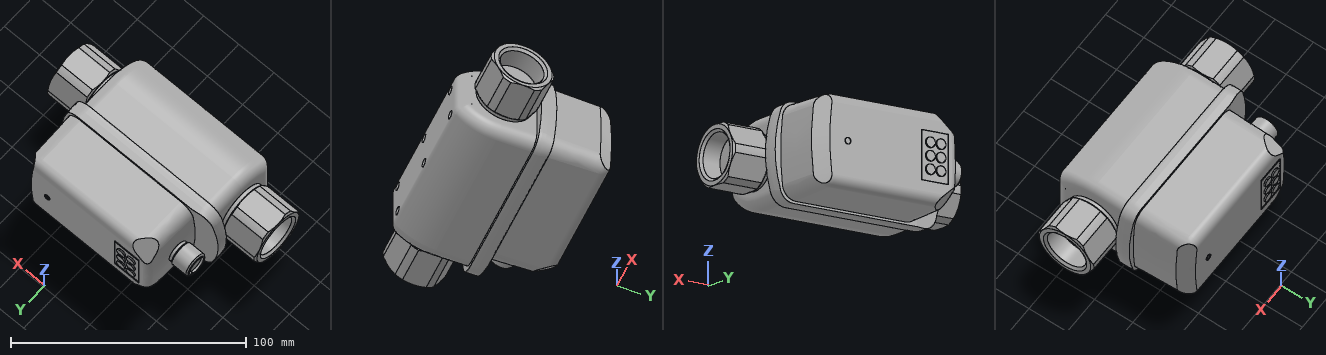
import cadquery as cq
import math


FITTING_END = 59.5
HEX_LENGTH = 19.0
HEX_FLATS = 26.9
HEX_TURN = 30
HEX_ROUND_DIAMETER = 29.0
HEX_CHAMFER_LENGTH = 0.7
HEX_CHAMFER_STEP = 1.13
COLLAR_DIAMETER = 25.7
BORE_DIAMETER = 20.2
BORE_MOUTH_DIAMETER = 22.6
BORE_DEPTH = 10.0

HOUSING_HALF_LENGTH = 38.4
HOUSING_HALF_HEIGHT = 20.7
HOUSING_FRONT_Y = -20.6
HOUSING_ARC_START_Y = -1.0
HOUSING_FRONT_HALF_HEIGHT = 11.7
HOUSING_END_FILLET = 5.8
HOUSING_FRONT_FILLET = 3.0

FRONT_HOLE_DIAMETER = 3.7
FRONT_HOLE_DEPTH = 3.6
FRONT_HOLE_PITCH_X = 28.6
FRONT_HOLE_Z = 8.2

FLANGE_HALF_LENGTH = 43.9
FLANGE_HEIGHT = 45.3
FLANGE_HALF_HEIGHT = FLANGE_HEIGHT / 2
FLANGE_CORNER_RADIUS = 8.3
FLANGE_END_RADIUS = 55.9
FLANGE_BOTTOM_Y = 15.2
GASKET_BOTTOM_Y = 16.7
GASKET_TOP_Y = 18.7
FLANGE_TOP_Y = 22.3
FLANGE_TOP_INSET = 0.2
FLANGE_TOP_CORNER_RADIUS = 6.9
FLANGE_BOTTOM_TAPER = 4.0

SLOPE_START_X = -30.5
SLOPE_END_Y = 20.6

COVER_LEFT_X = -32.1
COVER_RIGHT_X = 40.9
COVER_HALF_HEIGHT = 21.4
COVER_TOP_Y = 51.0
COVER_CORNER_RADIUS = 7.1
COVER_END_RADIUS = 119.0
COVER_TAPER = 1.5
COVER_LONG_EDGE_FILLET = 4.8
COVER_LEFT_EDGE_FILLET = 3.0

BEVEL_LENGTH = 5.4
BEVEL_DROP = 7.9

FACET_X = 12.7
FACET_Y = 14.2
FACET_Z = 10.5
FACET_TRIM_RADIUS = 17.8

CONNECTOR_Y = 33.0
CONNECTOR_TIP_X = -42.5
CONNECTOR_DIAMETER = 11.9
CONNECTOR_LENGTH = 9.5
CONNECTOR_CHAMFER = 0.8
CONNECTOR_NECK_DIAMETER = 10.6
CONNECTOR_BORE_DIAMETER = 9.0
CONNECTOR_BORE_DEPTH = 1.2
CONNECTOR_KEY_DIAMETER = 1.7
CONNECTOR_KEY_ANGLE = -45

KEYPAD_LEFT_X = -26.0
KEYPAD_RIGHT_X = -12.1
KEYPAD_HALF_HEIGHT = 11.1
KEYPAD_THICKNESS = 0.4
KEY_DIAMETER = 4.6
KEY_HEIGHT = 1.1
KEY_X = (-21.8, -16.3)
KEY_Z = (-6.0, 0.0, 6.0)
LAMP_X = 26.3
LAMP_DIAMETER = 2.9

OVERLAP = 2.4


def plane_at(y):
    """Workplane facing +Y at height y, with local axes (Z, X)."""
    return cq.Workplane("ZX", origin=(0, y, 0))


def end_points(end_x, half_height, corner_radius, end_radius):
    """Upper-half points (z, x) of a bowed end: straight end, corner middle, bow start, bow middle."""
    side = math.copysign(1, end_x)
    bow_center = abs(end_x) - end_radius
    corner_z = half_height - corner_radius
    reach = end_radius - corner_radius
    corner_x = bow_center + math.sqrt(reach**2 - corner_z**2)
    bow_angle = math.asin(corner_z / reach)
    middle_angle = (bow_angle + math.pi / 2) / 2
    straight_end = (half_height, side * corner_x)
    corner_middle = (
        corner_z + corner_radius * math.sin(middle_angle),
        side * (corner_x + corner_radius * math.cos(middle_angle)),
    )
    bow_start = (
        end_radius * math.sin(bow_angle),
        side * (bow_center + end_radius * math.cos(bow_angle)),
    )
    return straight_end, corner_middle, bow_start, (0, end_x)


def mirrored(point):
    """The same point in the lower half."""
    return (-point[0], point[1])


def bowed_outline(y, left_x, right_x, half_height, corner_radius, end_radius):
    """Closed rounded rectangle whose two ends bow outwards."""
    left = end_points(left_x, half_height, corner_radius, end_radius)
    right = end_points(right_x, half_height, corner_radius, end_radius)
    return (
        plane_at(y)
        .moveTo(*left[0])
        .lineTo(*right[0])
        .threePointArc(right[1], right[2])
        .threePointArc(right[3], mirrored(right[2]))
        .threePointArc(mirrored(right[1]), mirrored(right[0]))
        .lineTo(*mirrored(left[0]))
        .threePointArc(mirrored(left[1]), mirrored(left[2]))
        .threePointArc(left[3], left[2])
        .threePointArc(left[1], left[0])
        .close()
    )


def x_cylinder(start_x, length, diameter, y=0.0):
    return cq.Workplane("YZ", origin=(start_x, y, 0)).circle(diameter / 2).extrude(length)


def lower_housing():
    depth = HOUSING_ARC_START_Y - HOUSING_FRONT_Y
    drop = HOUSING_HALF_HEIGHT - HOUSING_FRONT_HALF_HEIGHT
    radius = (depth**2 + drop**2) / (2 * drop)
    half_angle = math.asin(depth / radius) / 2
    middle_y = HOUSING_ARC_START_Y - radius * math.sin(half_angle)
    middle_z = HOUSING_HALF_HEIGHT - radius * (1 - math.cos(half_angle))
    body = (
        cq.Workplane("YZ", origin=(-HOUSING_HALF_LENGTH, 0, 0))
        .moveTo(FLANGE_BOTTOM_Y, HOUSING_HALF_HEIGHT)
        .lineTo(HOUSING_ARC_START_Y, HOUSING_HALF_HEIGHT)
        .threePointArc((middle_y, middle_z), (HOUSING_FRONT_Y, HOUSING_FRONT_HALF_HEIGHT))
        .lineTo(HOUSING_FRONT_Y, -HOUSING_FRONT_HALF_HEIGHT)
        .threePointArc((middle_y, -middle_z), (HOUSING_ARC_START_Y, -HOUSING_HALF_HEIGHT))
        .lineTo(FLANGE_BOTTOM_Y, -HOUSING_HALF_HEIGHT)
        .close()
        .extrude(2 * HOUSING_HALF_LENGTH)
    )
    body = body.faces("<X or >X").edges("not >Y").fillet(HOUSING_END_FILLET)
    body = body.faces("<Y").edges("|X").fillet(HOUSING_FRONT_FILLET)
    holes = (
        cq.Workplane("XZ", origin=(0, HOUSING_FRONT_Y, 0))
        .rarray(FRONT_HOLE_PITCH_X, 2 * FRONT_HOLE_Z, 3, 2)
        .circle(FRONT_HOLE_DIAMETER / 2)
        .extrude(-FRONT_HOLE_DEPTH)
    )
    return body.cut(holes)


def flange():
    size = (
        -FLANGE_HALF_LENGTH,
        FLANGE_HALF_LENGTH,
        FLANGE_HALF_HEIGHT,
        FLANGE_CORNER_RADIUS,
        FLANGE_END_RADIUS,
    )
    lower_rise = FLANGE_BOTTOM_Y - GASKET_BOTTOM_Y
    lower = bowed_outline(GASKET_BOTTOM_Y, *size).extrude(lower_rise, taper=FLANGE_BOTTOM_TAPER)
    gasket = bowed_outline(GASKET_BOTTOM_Y, *size).extrude(GASKET_TOP_Y - GASKET_BOTTOM_Y)
    top_outline = bowed_outline(
        FLANGE_TOP_Y,
        FLANGE_TOP_INSET - FLANGE_HALF_LENGTH,
        FLANGE_HALF_LENGTH - FLANGE_TOP_INSET,
        FLANGE_HALF_HEIGHT - FLANGE_TOP_INSET,
        FLANGE_TOP_CORNER_RADIUS,
        FLANGE_END_RADIUS,
    )
    gasket_outline = bowed_outline(GASKET_TOP_Y, *size)
    upper = cq.Workplane(cq.Solid.makeLoft([gasket_outline.val(), top_outline.val()], True))
    slope = (
        cq.Workplane("XY")
        .moveTo(SLOPE_START_X, FLANGE_TOP_Y)
        .lineTo(-FLANGE_HALF_LENGTH, SLOPE_END_Y)
        .lineTo(-FLANGE_HALF_LENGTH, FLANGE_TOP_Y)
        .close()
        .extrude(FLANGE_HALF_HEIGHT, both=True)
    )
    return lower.union(gasket).union(upper.cut(slope))


def left_cover_half(body, lean):
    """Half with a tight fillet on the left end edge, wider ones on the long edges and two corner facets."""
    sides_profile = (
        cq.Workplane("YZ")
        .moveTo(GASKET_TOP_Y, COVER_HALF_HEIGHT)
        .lineTo(COVER_TOP_Y, COVER_HALF_HEIGHT - lean)
        .lineTo(COVER_TOP_Y, lean - COVER_HALF_HEIGHT)
        .lineTo(GASKET_TOP_Y, -COVER_HALF_HEIGHT)
        .close()
        .extrude(COVER_LEFT_X)
    )
    sides_profile = sides_profile.faces(">Y").edges("|X").fillet(COVER_LONG_EDGE_FILLET)
    half = body.faces(">Y").edges().fillet(COVER_LEFT_EDGE_FILLET).intersect(sides_profile)

    facet = cq.Plane(
        origin=(COVER_LEFT_X + lean + FACET_X, COVER_TOP_Y, COVER_HALF_HEIGHT - lean),
        normal=(-1 / FACET_X, 1 / FACET_Y, 1 / FACET_Z),
    )
    trim = cq.Workplane(facet).circle(FACET_TRIM_RADIUS).extrude(FACET_TRIM_RADIUS)
    return half.cut(trim).cut(trim.mirror("XY"))


def right_cover_half(body):
    """Half with one fillet all around the top and a bevel that follows the bowed right end."""
    half = body.faces(">Y").edges().fillet(COVER_LONG_EDGE_FILLET)
    bow_axis_x = COVER_RIGHT_X - COVER_END_RADIUS
    bevel = (
        cq.Workplane("XY", origin=(bow_axis_x, 0, 0))
        .moveTo(COVER_END_RADIUS - BEVEL_LENGTH, COVER_TOP_Y)
        .lineTo(COVER_END_RADIUS, COVER_TOP_Y - BEVEL_DROP)
        .lineTo(COVER_END_RADIUS, COVER_TOP_Y)
        .close()
        .revolve(360, (0, 0, 0), (0, 1, 0))
    )
    left_side = (
        plane_at(GASKET_TOP_Y)
        .center(0, COVER_LEFT_X)
        .rect(2 * FLANGE_HEIGHT, -2 * COVER_LEFT_X)
        .extrude(COVER_TOP_Y)
    )
    return half.cut(bevel).cut(left_side)


def cover():
    height = COVER_TOP_Y - GASKET_TOP_Y
    lean = height * math.tan(math.radians(COVER_TAPER))
    body = bowed_outline(
        GASKET_TOP_Y, COVER_LEFT_X, COVER_RIGHT_X, COVER_HALF_HEIGHT, COVER_CORNER_RADIUS, COVER_END_RADIUS
    ).extrude(height, taper=COVER_TAPER)
    return left_cover_half(body, lean).union(right_cover_half(body))


def fitting():
    """Right-hand pipe fitting; the left-hand one is its mirror image."""
    start = FITTING_END - HEX_LENGTH
    hexagon = (
        cq.Workplane("YZ", origin=(start, 0, 0))
        .polygon(6, HEX_FLATS, circumscribed=True)
        .extrude(HEX_LENGTH)
        .rotate((0, 0, 0), (1, 0, 0), HEX_TURN)
    )
    outer_radius = HEX_ROUND_DIAMETER / 2
    turned = (
        cq.Workplane("XY")
        .moveTo(start, 0)
        .lineTo(start, outer_radius - HEX_CHAMFER_STEP)
        .lineTo(start + HEX_CHAMFER_LENGTH, outer_radius)
        .lineTo(FITTING_END - HEX_CHAMFER_LENGTH, outer_radius)
        .lineTo(FITTING_END, outer_radius - HEX_CHAMFER_STEP)
        .lineTo(FITTING_END, 0)
        .close()
        .revolve(360, (0, 0, 0), (1, 0, 0))
    )
    collar_start = HOUSING_HALF_LENGTH - OVERLAP
    collar = x_cylinder(collar_start, start + OVERLAP - collar_start, COLLAR_DIAMETER)
    bore = x_cylinder(FITTING_END - BORE_DEPTH, BORE_DEPTH, BORE_DIAMETER)
    mouth_step = (BORE_MOUTH_DIAMETER - BORE_DIAMETER) / 2
    mouth = cq.Solid.makeCone(
        BORE_MOUTH_DIAMETER / 2,
        BORE_DIAMETER / 2,
        mouth_step,
        pnt=cq.Vector(FITTING_END, 0, 0),
        dir=cq.Vector(-1, 0, 0),
    )
    return hexagon.intersect(turned).union(collar).cut(bore).cut(mouth)


def connector():
    barrel = x_cylinder(CONNECTOR_TIP_X, CONNECTOR_LENGTH, CONNECTOR_DIAMETER, CONNECTOR_Y)
    barrel = barrel.edges().chamfer(CONNECTOR_CHAMFER)
    neck_length = COVER_LEFT_X + OVERLAP - CONNECTOR_TIP_X
    neck = x_cylinder(CONNECTOR_TIP_X, neck_length, CONNECTOR_NECK_DIAMETER, CONNECTOR_Y)
    bore = x_cylinder(CONNECTOR_TIP_X, CONNECTOR_BORE_DEPTH, CONNECTOR_BORE_DIAMETER, CONNECTOR_Y)
    key_radius = CONNECTOR_BORE_DIAMETER / 2
    key_angle = math.radians(CONNECTOR_KEY_ANGLE)
    key = (
        cq.Workplane("YZ", origin=(CONNECTOR_TIP_X, CONNECTOR_Y, 0))
        .center(key_radius * math.cos(key_angle), key_radius * math.sin(key_angle))
        .circle(CONNECTOR_KEY_DIAMETER / 2)
        .extrude(CONNECTOR_BORE_DEPTH)
    )
    return barrel.union(neck).cut(bore.cut(key))


def keypad():
    pad = (
        plane_at(COVER_TOP_Y)
        .center(0, (KEYPAD_LEFT_X + KEYPAD_RIGHT_X) / 2)
        .rect(2 * KEYPAD_HALF_HEIGHT, KEYPAD_RIGHT_X - KEYPAD_LEFT_X)
        .extrude(KEYPAD_THICKNESS)
    )
    keys = (
        plane_at(COVER_TOP_Y)
        .pushPoints([(z, x) for x in KEY_X for z in KEY_Z])
        .circle(KEY_DIAMETER / 2)
        .extrude(KEY_HEIGHT)
    )
    lamp = plane_at(COVER_TOP_Y).center(0, LAMP_X).circle(LAMP_DIAMETER / 2).extrude(KEYPAD_THICKNESS)
    return pad.union(keys).union(lamp)


right_fitting = fitting()
result = lower_housing().union(flange()).union(cover()).union(connector()).union(keypad())
result = result.union(right_fitting).union(right_fitting.mirror("YZ"))